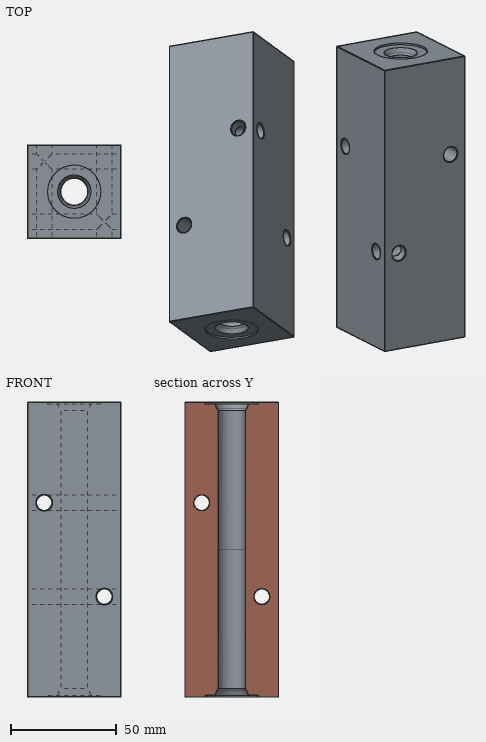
import cadquery as cq

block_height = 139.7
block_width = 44.4
edge_chamfer = 0.3

bore_diameter = 12.7
seat_inner_diameter = 14.1
seat_outer_diameter = 15.8
spotface_diameter = 25.1
spotface_depth = 0.8
seat_depth = 2.2
lead_in_depth = 1.0

cross_hole_diameter = 7.3
cross_hole_chamfer = 0.35
cross_hole_side_offset = 14.2
cross_hole_height_offset = 22.2


def make_block():
    block = cq.Workplane("XY").box(block_width, block_width, block_height)
    return block.edges().chamfer(edge_chamfer)


def make_port_bore():
    """Revolved tool for the through bore, with the same port at both ends."""
    top = block_height / 2
    seat_top = top - spotface_depth
    seat_bottom = seat_top - seat_depth
    bore_top = seat_bottom - lead_in_depth
    upper_half = (
        cq.Workplane("XZ")
        .lineTo(bore_diameter / 2, 0)
        .lineTo(bore_diameter / 2, bore_top)
        .lineTo(seat_inner_diameter / 2, seat_bottom)
        .lineTo(seat_outer_diameter / 2, seat_top)
        .lineTo(spotface_diameter / 2, seat_top)
        .lineTo(spotface_diameter / 2, top)
        .lineTo(0, top)
        .close()
        .revolve(360, (0, 0, 0), (0, 1, 0))
    )
    return upper_half.union(upper_half.mirror("XY"))


def make_cross_hole(plane, side, height):
    """Tool for one through hole, chamfered where it meets both faces."""
    face = block_width / 2
    radius = cross_hole_diameter / 2
    mouth_radius = radius + cross_hole_chamfer
    chamfer_start = face - cross_hole_chamfer
    profile = [
        (0, -face),
        (mouth_radius, -face),
        (radius, -chamfer_start),
        (radius, chamfer_start),
        (mouth_radius, face),
        (0, face),
    ]
    tool = cq.Workplane("XZ").polyline(profile).close().revolve(360, (0, 0, 0), (0, 1, 0))
    return cq.Workplane(plane).center(side, height).eachpoint(tool.val(), useLocalCoordinates=True)


def make_cross_holes(plane, upper_side):
    """Diagonal pair of holes; upper_side is the sign of the upper hole's offset."""
    side = upper_side * cross_hole_side_offset
    upper_hole = make_cross_hole(plane, side, cross_hole_height_offset)
    lower_hole = make_cross_hole(plane, -side, -cross_hole_height_offset)
    return upper_hole.union(lower_hole)


result = (
    make_block()
    .cut(make_port_bore())
    .cut(make_cross_holes("XZ", -1))
    .cut(make_cross_holes("YZ", 1))
)